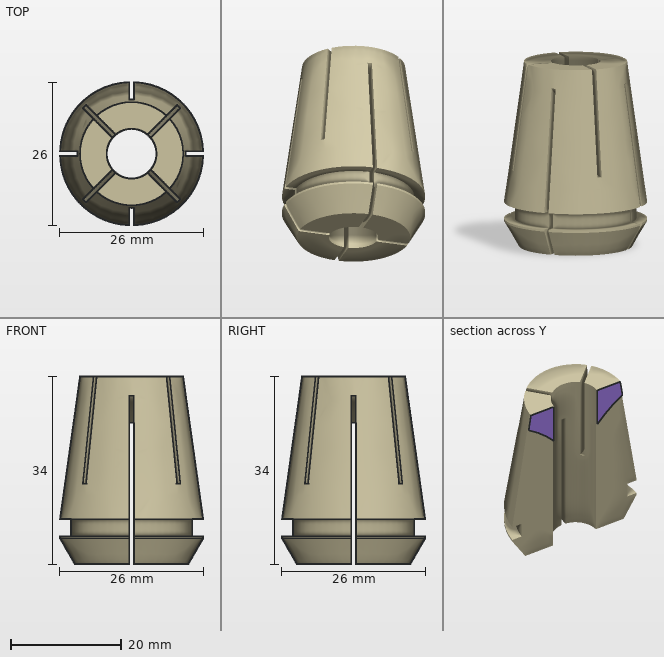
import cadquery as cq
import math

total_height = 34.0
outer_radius = 13.0
bore_radius = 4.5

nose_chamfer_angle = 30.0
nose_chamfer_height = 4.7
rim_top = 5.05
groove_top = 8.13
groove_radius = 11.0

taper_angle = 8.0

slit_count = 4
slit_spacing = 360.0 / slit_count
slit_width = 0.8
nose_slit_outer_top = 30.53
nose_slit_bore_top = 25.57
nose_slit_arc_radius = 23.8
top_slit_floor = 14.55
top_slit_ledge_radius = 10.98
top_slit_arc_radius = 12.58

clearance = 1.7

nose_radius = outer_radius - nose_chamfer_height * math.tan(math.radians(nose_chamfer_angle))


def taper_radius(z):
    """Radius of the clamping taper at height z."""
    return outer_radius - (z - groove_top) * math.tan(math.radians(taper_angle))


def make_body():
    """Revolve the wall between the bore and the outer outline."""
    return (
        cq.Workplane("XZ")
        .moveTo(bore_radius, 0)
        .lineTo(nose_radius, 0)
        .lineTo(outer_radius, nose_chamfer_height)
        .lineTo(outer_radius, rim_top)
        .lineTo(groove_radius, rim_top)
        .lineTo(groove_radius, groove_top)
        .lineTo(outer_radius, groove_top)
        .lineTo(taper_radius(total_height), total_height)
        .lineTo(bore_radius, total_height)
        .close()
        .revolve(360, (0, 0, 0), (0, 1, 0))
    )


def arc_sagitta(start, end, radius):
    """Height of an arc of the given radius above the chord from start to end."""
    half_chord = math.dist(start, end) / 2
    return radius - math.sqrt(radius**2 - half_chord**2)


def make_nose_slit():
    """Slit open at the nose, its roof curving down from the taper to the bore."""
    roof_outer = (taper_radius(nose_slit_outer_top), nose_slit_outer_top)
    roof_inner = (bore_radius, nose_slit_bore_top)
    roof_sagitta = arc_sagitta(roof_inner, roof_outer, nose_slit_arc_radius)
    return (
        cq.Workplane("XZ")
        .moveTo(0, -clearance)
        .lineTo(outer_radius + clearance, -clearance)
        .lineTo(outer_radius + clearance, nose_slit_outer_top)
        .lineTo(*roof_outer)
        .sagittaArc(roof_inner, -roof_sagitta)
        .lineTo(0, nose_slit_bore_top)
        .close()
        .extrude(slit_width / 2, both=True)
    )


def make_top_slit():
    """Slit open at the small end, its floor a flat ledge that curves up towards the bore."""
    reach = top_slit_ledge_radius - bore_radius
    bore_floor = top_slit_floor + top_slit_arc_radius - math.sqrt(top_slit_arc_radius**2 - reach**2)
    return (
        cq.Workplane("XZ")
        .moveTo(outer_radius + clearance, total_height + clearance)
        .lineTo(outer_radius + clearance, top_slit_floor)
        .lineTo(top_slit_ledge_radius, top_slit_floor)
        .tangentArcPoint((bore_radius, bore_floor), relative=False)
        .lineTo(0, bore_floor)
        .lineTo(0, total_height + clearance)
        .close()
        .extrude(slit_width / 2, both=True)
    )


def cut_slits(body, slit, first_angle):
    """Cut copies of a slit evenly around the centre line."""
    for index in range(slit_count):
        angle = first_angle + index * slit_spacing
        body = body.cut(slit.rotate((0, 0, 0), (0, 0, 1), angle))
    return body


result = make_body()
result = cut_slits(result, make_nose_slit(), 0)
result = cut_slits(result, make_top_slit(), slit_spacing / 2)